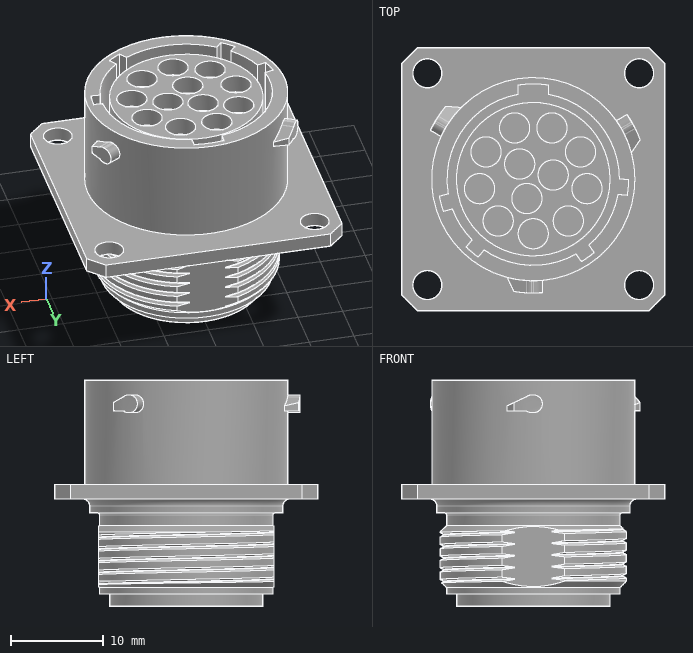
import cadquery as cq
import math

total_height = 24.56
flange_thickness = 1.6
flange_top = 13.24
flange_bottom = flange_top - flange_thickness

flange_side = 28.57
flange_corner_cut = 1.72
mount_hole_spacing = 22.98
mount_hole_diameter = 3.12

shell_radius = 11.03
cavity_radius = 9.35
insert_radius = 8.33
insert_recess = 0.63
cavity_floor = flange_top

keyway_radius = 10.35
main_keyway = (90.0, 3.34)
minor_keyway_width = 1.7
minor_keyway_angles = (-5.0, -55.0, -130.0, -165.0)

contact_diameter = 3.28
contact_depth = 2.05
outer_contact_count = 9
outer_contact_circle_radius = 5.92
outer_contact_start = 270.0
inner_contact_count = 3
inner_contact_circle_radius = 2.21
inner_contact_start = 251.8

pin_count = 3
pin_radius = 0.96
pin_flat_length = 0.2
pin_flat_center = -0.07
pin_outer_radius = 12.36
pin_height = total_height - 2.58
tail_half_height = 0.76
tail_tip_length = 2.83
tail_tip_top = -0.22
tail_end_slope = 25.6
pin_root_radius = 10.2

shoulder_radius = 10.5
shoulder_bottom = 10.13
shoulder_fillet = 0.75
neck_radius = 9.43
neck_bottom = 1.33
neck_fillet = 0.2

thread_radius = 10.12
thread_top = 8.77
thread_bottom = 2.04
thread_chamfer = thread_radius - neck_radius
flat_distance = 9.53
thread_pitch = 1.27
groove_depth = 0.38
groove_mouth = 0.48
groove_root = 0.08
groove_start_height = 1.41
groove_start_angle = 180.0
groove_turns = 6
groove_overlap = 0.1


def cylinder(radius, bottom, top):
    return cq.Workplane("XY").workplane(offset=bottom).circle(radius).extrude(top - bottom)


def polar_points(count, radius, start_angle):
    angles = [math.radians(start_angle + index * 360.0 / count) for index in range(count)]
    return [(radius * math.cos(angle), radius * math.sin(angle)) for angle in angles]


def make_flange():
    plate = (
        cq.Workplane("XY")
        .workplane(offset=flange_bottom)
        .rect(flange_side, flange_side)
        .extrude(flange_thickness)
        .edges("|Z")
        .chamfer(flange_corner_cut)
    )
    return (
        plate.faces(">Z")
        .workplane()
        .rect(mount_hole_spacing, mount_hole_spacing, forConstruction=True)
        .vertices()
        .hole(mount_hole_diameter)
    )


def make_rear_body():
    """Turned profile from the rear end of the insert up to the flange."""
    shoulder_fillet_start = flange_bottom - shoulder_fillet
    arc_middle = 1 - math.sqrt(0.5)
    return (
        cq.Workplane("XZ")
        .lineTo(insert_radius, 0)
        .lineTo(insert_radius, neck_bottom)
        .lineTo(neck_radius, neck_bottom)
        .lineTo(neck_radius, thread_bottom)
        .lineTo(thread_radius, thread_bottom + thread_chamfer)
        .lineTo(thread_radius, thread_top - thread_chamfer)
        .lineTo(neck_radius, thread_top)
        .lineTo(neck_radius, shoulder_bottom - neck_fillet)
        .threePointArc(
            (
                neck_radius + neck_fillet * arc_middle,
                shoulder_bottom - neck_fillet * arc_middle,
            ),
            (neck_radius + neck_fillet, shoulder_bottom),
        )
        .lineTo(shoulder_radius, shoulder_bottom)
        .lineTo(shoulder_radius, shoulder_fillet_start)
        .threePointArc(
            (
                shoulder_radius + shoulder_fillet * arc_middle,
                flange_bottom - shoulder_fillet * arc_middle,
            ),
            (shoulder_radius + shoulder_fillet, flange_bottom),
        )
        .lineTo(shoulder_radius + shoulder_fillet, flange_top)
        .lineTo(0, flange_top)
        .close()
        .revolve(360, (0, 0, 0), (0, 1, 0))
    )


def make_thread_groove():
    """Right-hand helical groove starting on the -X side; it runs out through both chamfers."""
    root_radius = thread_radius - groove_depth
    mouth_radius = thread_radius + groove_overlap
    flank_slope = (groove_mouth - groove_root) / 2 / groove_depth
    outer_half_width = groove_mouth / 2 + groove_overlap * flank_slope
    path = cq.Wire.makeHelix(thread_pitch, groove_turns * thread_pitch, root_radius)
    groove = (
        cq.Workplane("XZ")
        .moveTo(root_radius, -groove_root / 2)
        .lineTo(mouth_radius, -outer_half_width)
        .lineTo(mouth_radius, outer_half_width)
        .lineTo(root_radius, groove_root / 2)
        .close()
        .sweep(cq.Workplane(obj=path), isFrenet=True)
    )
    groove = groove.rotate((0, 0, 0), (0, 0, 1), groove_start_angle)
    return groove.translate((0, 0, groove_start_height))


def make_thread_flats():
    """Two blocks that trim the thread at +Y and -Y."""
    block_depth = thread_radius
    blocks = cq.Workplane("XY").workplane(offset=thread_bottom).pushPoints(
        [(0, side * (flat_distance + block_depth / 2)) for side in (-1, 1)]
    )
    return blocks.rect(2 * thread_radius, block_depth).extrude(thread_top - thread_bottom)


def make_keyway(angle, width):
    """Radial slot whose outer end follows the keyway radius."""
    slot = (
        cq.Workplane("XY")
        .workplane(offset=cavity_floor)
        .center(keyway_radius / 2, 0)
        .rect(keyway_radius, width)
        .extrude(total_height - cavity_floor)
    )
    slot = slot.intersect(cylinder(keyway_radius, cavity_floor, total_height))
    return slot.rotate((0, 0, 0), (0, 0, 1), angle)


def make_front_shell():
    shell = cylinder(shell_radius, flange_top, total_height)
    shell = shell.cut(cylinder(cavity_radius, cavity_floor, total_height))
    shell = shell.cut(make_keyway(*main_keyway))
    for angle in minor_keyway_angles:
        shell = shell.cut(make_keyway(angle, minor_keyway_width))
    return shell


def make_insert():
    insert_top = total_height - insert_recess
    contacts = polar_points(outer_contact_count, outer_contact_circle_radius, outer_contact_start)
    contacts += polar_points(inner_contact_count, inner_contact_circle_radius, inner_contact_start)
    return (
        cylinder(insert_radius, cavity_floor, insert_top)
        .faces(">Z")
        .workplane()
        .pushPoints(contacts)
        .hole(contact_diameter, contact_depth)
    )


def make_bayonet_pin():
    """Rounded pin with two short flats on the -Y side, with a tail toward -X that slopes to the shell."""
    pin = (
        cq.Workplane("XZ")
        .center(pin_flat_center, 0)
        .slot2D(pin_flat_length + 2 * pin_radius, 2 * pin_radius)
        .extrude(pin_outer_radius)
    )
    tail_side_center = pin_flat_center - pin_flat_length / 2
    junction = tail_side_center - math.sqrt(pin_radius**2 - tail_half_height**2)
    tip_base_y = -math.sqrt(shell_radius**2 - tail_tip_length**2)
    end_run = math.tan(math.radians(tail_end_slope))
    tail_outer_length = tail_tip_length - end_run * (tip_base_y + pin_outer_radius)
    tail_root_length = tail_tip_length + end_run * (-pin_root_radius - tip_base_y)
    top_slope = (tail_half_height - tail_tip_top) / (tail_tip_length + junction)
    tail_root_top = tail_tip_top - top_slope * (tail_root_length - tail_tip_length)
    tail = (
        cq.Workplane("XZ")
        .moveTo(0, -tail_half_height)
        .lineTo(-tail_root_length, -tail_half_height)
        .lineTo(-tail_root_length, tail_root_top)
        .lineTo(junction, tail_half_height)
        .lineTo(0, tail_half_height)
        .close()
        .extrude(pin_outer_radius)
    )
    tail_plan = (
        cq.Workplane("XY")
        .workplane(offset=-pin_radius)
        .moveTo(0, -pin_outer_radius)
        .lineTo(-tail_outer_length, -pin_outer_radius)
        .lineTo(-tail_root_length, -pin_root_radius)
        .lineTo(0, -pin_root_radius)
        .close()
        .extrude(2 * pin_radius)
    )
    ring = cylinder(pin_outer_radius, -pin_radius, pin_radius)
    ring = ring.cut(cylinder(pin_root_radius, -pin_radius, pin_radius))
    return pin.union(tail.intersect(tail_plan)).intersect(ring).translate((0, 0, pin_height))


rear_body = make_rear_body().cut(make_thread_groove()).cut(make_thread_flats())
result = rear_body.union(make_flange()).union(make_front_shell()).union(make_insert())
bayonet_pin = make_bayonet_pin()
for pin_index in range(pin_count):
    result = result.union(bayonet_pin.rotate((0, 0, 0), (0, 0, 1), pin_index * 360.0 / pin_count))